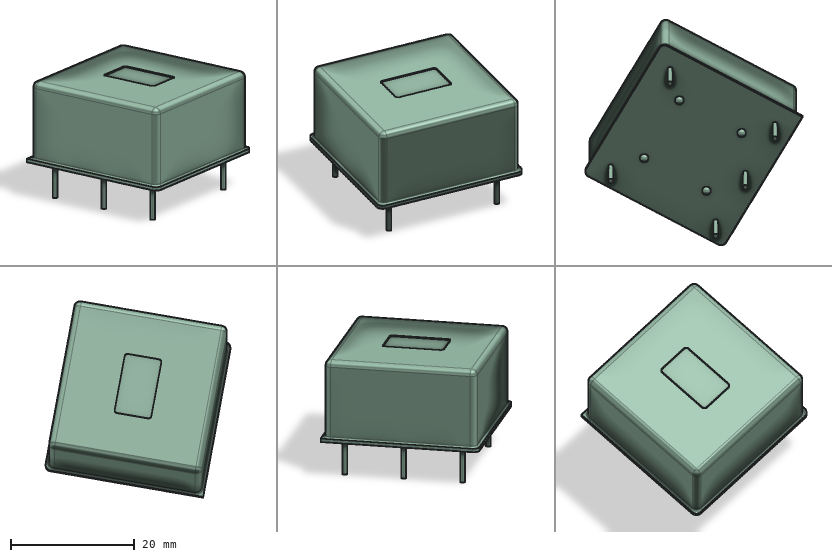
import cadquery as cq

flange_side = 26.0
flange_thickness = 0.6
flange_corner_radius = 1.0

cover_side = 25.0
cover_top = 13.68
cover_edge_radius = 1.0
cover_foot_radius = 0.29

recess_length = 10.0
recess_width = 6.0
recess_corner_radius = 0.5
recess_depth = 0.2

pin_diameter = 0.8
pin_length = 6.2
pin_offset = 9.72
standoff_radius = 0.7
standoff_offset = 5.77


def square_corners(offset):
    """Centres of the four corners of a square centred on the Z axis."""
    return [(x, y) for x in (-offset, offset) for y in (-offset, offset)]


def make_flange():
    """Square plate with one sharp corner that marks the first pin."""
    plate = cq.Workplane("XY").rect(flange_side, flange_side).extrude(flange_thickness)
    rounded_corners = "|Z and (>X or >Y)"
    return plate.edges(rounded_corners).fillet(flange_corner_radius)


def make_cover():
    """Box with rounded vertical and top edges."""
    box = (
        cq.Workplane("XY")
        .workplane(offset=flange_thickness)
        .rect(cover_side, cover_side)
        .extrude(cover_top - flange_thickness)
    )
    return box.edges("|Z or >Z").fillet(cover_edge_radius)


def make_body():
    """Flange and cover joined by a concave fillet around the foot of the walls."""
    body = make_flange().union(make_cover())
    flange_top = body.faces("|Z").faces("<Z[1]")
    foot_edges = flange_top.val().innerWires()[0].Edges()
    return body.newObject(foot_edges).fillet(cover_foot_radius)


def make_recess():
    return (
        cq.Workplane("XY")
        .workplane(offset=cover_top - recess_depth)
        .rect(recess_length, recess_width)
        .extrude(recess_depth)
        .edges("|Z")
        .fillet(recess_corner_radius)
    )


def make_pins():
    """A pin near each corner and one midway along the -Y side."""
    centres = square_corners(pin_offset) + [(0, -pin_offset)]
    return cq.Workplane("XY").pushPoints(centres).circle(pin_diameter / 2).extrude(-pin_length)


def make_standoffs():
    """Four balls whose lower halves protrude below the flange."""
    return cq.Workplane("XY").pushPoints(square_corners(standoff_offset)).sphere(standoff_radius)


result = make_body().cut(make_recess()).union(make_pins()).union(make_standoffs())